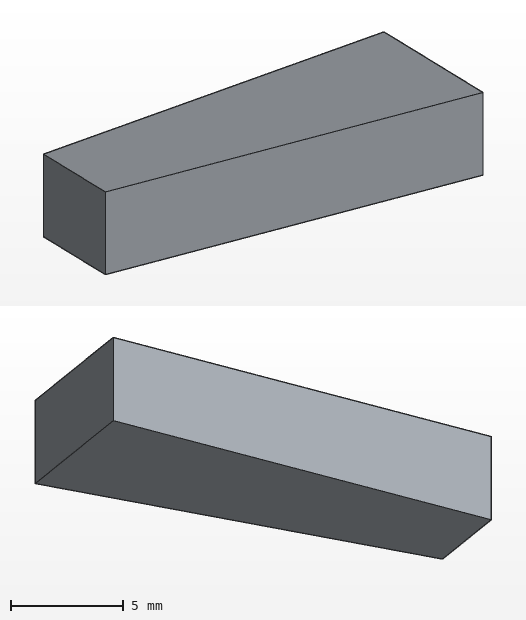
import cadquery as cq

length = 20.0
wide_end = 8.0
narrow_end = 5.0
thickness = 4.0

right_x = wide_end / 2
back_y = length / 2
outline = [
    (right_x - narrow_end, -back_y),
    (right_x, -back_y),
    (right_x, back_y),
    (right_x - wide_end, back_y),
]

result = cq.Workplane("XY").polyline(outline).close().extrude(thickness)